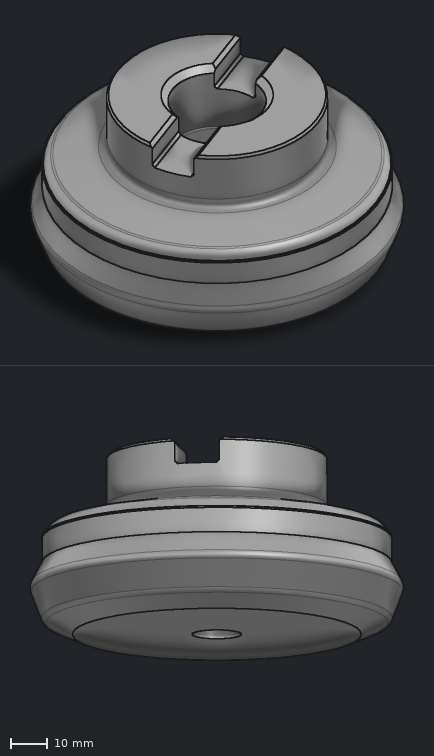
import cadquery as cq
import math

total_height = 50.0
rim_radius = 51.6
band_radius = 96.7 / 2
split_height = 26.7

face_radius = 39.9
lower_corner_height = 3.6
lower_corner_fillet = 2.4
rim_center_height = 13.1
rim_fillet = 2.8
upper_flank_angle = math.radians(28)
lower_flank_angle = math.radians(21)

step_height = 27.3
shoulder_start_radius = 48.0
shoulder_mid = (47.23, 28.75)
shoulder_end = (46.0, 29.9)
cone_start = (45.4, 30.2)
cone_end = (32.8, 32.9)
neck_fillet_mid = (31.3, 33.9)
hub_radius = 61.0 / 2
hub_bottom = 36.0
hub_chamfer_height = 0.8
hub_chamfer_width = 0.5

hole_radius = 13.5 / 2
bore_radius = 27.0 / 2
bore_depth = 20.0
bore_floor_fillet = 0.5
bore_chamfer = 2.0
slot_width = 12.5
slot_depth = 7.2
slot_floor_chamfer = 0.8
slot_edge_chamfer = 1.1


def rim_point(angle):
    """Point on the rounded rim at an angle above the horizontal."""
    return (
        rim_radius - rim_fillet + rim_fillet * math.cos(angle),
        rim_center_height + rim_fillet * math.sin(angle),
    )


def make_ring():
    """Double-cone ring with flanks tangent to the rounded rim, and a plain through hole."""
    lower_r, lower_z = rim_point(-lower_flank_angle)
    upper_r, upper_z = rim_point(upper_flank_angle)
    corner_radius = lower_r - (lower_z - lower_corner_height) * math.tan(lower_flank_angle)
    band_bottom = upper_z + (upper_r - band_radius) / math.tan(upper_flank_angle)
    ring = (
        cq.Workplane("XZ")
        .moveTo(hole_radius, 0)
        .lineTo(face_radius, 0)
        .lineTo(corner_radius, lower_corner_height)
        .lineTo(lower_r, lower_z)
        .threePointArc(rim_point(0), (upper_r, upper_z))
        .lineTo(band_radius, band_bottom)
        .lineTo(band_radius, split_height)
        .lineTo(hole_radius, split_height)
        .close()
        .revolve(360, (0, 0, 0), (0, 1, 0))
    )
    corner = cq.selectors.NearestToPointSelector((0, 0, lower_corner_height))
    return ring.edges(corner).fillet(lower_corner_fillet)


def make_holder_blank():
    """Shouldered holder with its hub, before any hole is cut."""
    return (
        cq.Workplane("XZ")
        .moveTo(0, split_height)
        .lineTo(band_radius, split_height)
        .lineTo(band_radius, step_height)
        .lineTo(shoulder_start_radius, step_height)
        .threePointArc(shoulder_mid, shoulder_end)
        .lineTo(*cone_start)
        .lineTo(*cone_end)
        .threePointArc(neck_fillet_mid, (hub_radius, hub_bottom))
        .lineTo(hub_radius, total_height - hub_chamfer_height)
        .lineTo(hub_radius - hub_chamfer_width, total_height)
        .lineTo(0, total_height)
        .close()
        .revolve(360, (0, 0, 0), (0, 1, 0))
    )


def make_bore():
    """Stepped cutter: through hole, bore with a rounded floor, and entry chamfer."""
    hole = (
        cq.Workplane("XY")
        .workplane(offset=split_height)
        .circle(hole_radius)
        .extrude(total_height - split_height)
    )
    bore = (
        cq.Workplane("XY")
        .workplane(offset=total_height - bore_depth)
        .circle(bore_radius)
        .extrude(bore_depth)
        .faces("<Z")
        .edges()
        .fillet(bore_floor_fillet)
    )
    entry = (
        cq.Workplane("XZ")
        .moveTo(0, total_height - bore_chamfer)
        .lineTo(bore_radius, total_height - bore_chamfer)
        .lineTo(bore_radius + bore_chamfer, total_height)
        .lineTo(0, total_height)
        .close()
        .revolve(360, (0, 0, 0), (0, 1, 0))
    )
    return hole.union(bore).union(entry)


def make_slot():
    """Cutter for the slot across the hub along Y, with chamfered floor and top edges."""
    half = slot_width / 2
    floor = total_height - slot_depth
    right_side = [
        (half - slot_floor_chamfer, floor),
        (half, floor + slot_floor_chamfer),
        (half, total_height - slot_edge_chamfer),
        (half + slot_edge_chamfer, total_height),
    ]
    left_side = [(-x, z) for x, z in reversed(right_side)]
    return (
        cq.Workplane("XZ")
        .polyline(right_side + left_side)
        .close()
        .extrude(rim_radius, both=True)
    )


ring = make_ring()
holder = make_holder_blank().cut(make_bore()).cut(make_slot())

result = cq.Compound.makeCompound([*ring.vals(), *holder.solids().vals()])